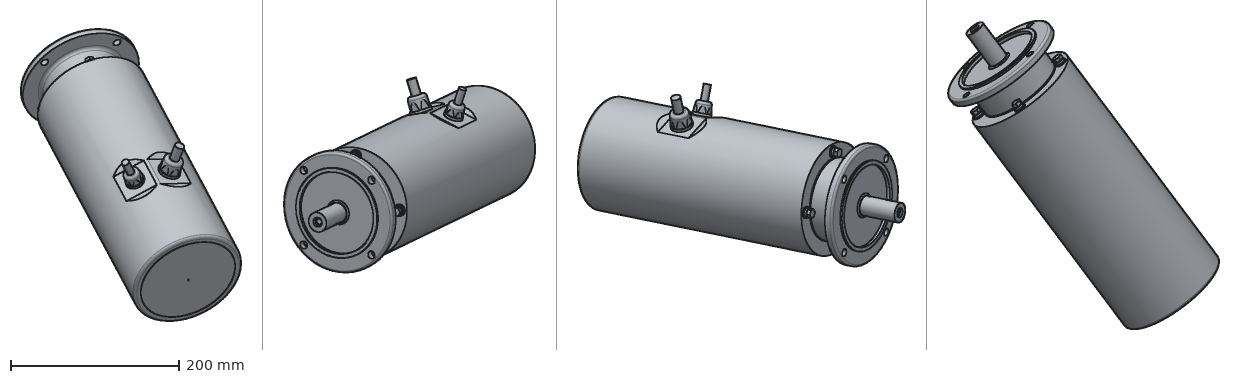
import cadquery as cq
import math

TOTAL_LENGTH = 414.0
ARC_MIDDLE = math.sqrt(0.5)

SHAFT_DIAMETER = 24.0
COLLAR_DIAMETER = 30.0
COLLAR_TIP_DIAMETER = 25.5
COLLAR_HEIGHT = 1.5
CENTRE_MOUTH_DIAMETER = 11.5
CENTRE_STEP_DIAMETER = 9.0
CENTRE_CORE_DIAMETER = 7.0
CENTRE_MOUTH_DEPTH = 2.5
CENTRE_STEP_DEPTH = 4.0
CENTRE_CORE_DEPTH = 20.5

FLANGE_DIAMETER = 148.0
FLANGE_FACE_X = 49.0
FLANGE_THICKNESS = 9.5
FLANGE_EDGE_RADIUS = 3.0
FLANGE_BACK_X = FLANGE_FACE_X + FLANGE_THICKNESS
FLANGE_HOLE_DIAMETER = 9.0
FLANGE_HOLE_CIRCLE_DIAMETER = 130.0
FLANGE_HOLE_COUNT = 4
PILOT_DIAMETER = 110.0
PILOT_HEIGHT = 2.5
PILOT_FACE_X = FLANGE_FACE_X - PILOT_HEIGHT
PILOT_RECESS_DIAMETER = 100.0
PILOT_RECESS_DEPTH = 4.0
RECESS_FLOOR_X = PILOT_FACE_X + PILOT_RECESS_DEPTH

NECK_DIAMETER = 101.0
NECK_FILLET = 4.0
SHOULDER_DIAMETER = 102.0
SHOULDER_X = 93.5
BARREL_DIAMETER = 138.0
BARREL_START_X = 95.0
BARREL_END_X = 412.5
BARREL_END_RADIUS = 3.7
COVER_DIAMETER = 120.0
COVER_END_X = 412.8
REAR_TIP_DIAMETER = 1.0

SCREW_COUNT = 4
SCREW_CIRCLE_DIAMETER = 118.5
SCREW_ACROSS_CORNERS = 11.5
SCREW_HEAD_X = 85.3
SCREW_HEAD_HEIGHT = 5.0
SCREW_COLLAR_DIAMETER = 11.5
WASHER_DIAMETER = 14.0
WASHER_THICKNESS = 1.2

SEAT_X = 294.0
SEAT_TILT = 19.2
SEAT_RADIUS = 66.0
SEAT_LENGTH = 43.0
SEAT_END_SLOPE = 18.5
SEAT_CUT_HEIGHT = 8.3
SEAT_CUT_WIDTH = 49.5

GLAND_RING_HEIGHT = 3.5
POWER_GLAND = {
    "base_diameter": 27.5,
    "top_diameter": 23.5,
    "rim_diameter": 16.0,
    "across_flats": 24.0,
    "height": 20.5,
    "cable_diameter": 11.5,
    "cable_length": 41.0,
}
SIGNAL_GLAND = {
    "base_diameter": 23.5,
    "top_diameter": 20.0,
    "rim_diameter": 12.5,
    "across_flats": 20.3,
    "height": 18.0,
    "cable_diameter": 9.0,
    "cable_length": 38.0,
}


def turned_core():
    """Shaft, flange, neck and barrel as one profile turned about the motor axis."""
    flange_radius = FLANGE_DIAMETER / 2
    neck_radius = NECK_DIAMETER / 2
    barrel_radius = BARREL_DIAMETER / 2
    flange_bulge = FLANGE_EDGE_RADIUS * (1 - ARC_MIDDLE)
    neck_bulge = NECK_FILLET * (1 - ARC_MIDDLE)
    barrel_bulge = BARREL_END_RADIUS * (1 - ARC_MIDDLE)
    return (
        cq.Workplane("XY")
        .moveTo(0, 0)
        .lineTo(0, SHAFT_DIAMETER / 2)
        .lineTo(RECESS_FLOOR_X - COLLAR_HEIGHT, SHAFT_DIAMETER / 2)
        .lineTo(RECESS_FLOOR_X - COLLAR_HEIGHT, COLLAR_TIP_DIAMETER / 2)
        .lineTo(RECESS_FLOOR_X, COLLAR_DIAMETER / 2)
        .lineTo(RECESS_FLOOR_X, PILOT_RECESS_DIAMETER / 2)
        .lineTo(PILOT_FACE_X, PILOT_RECESS_DIAMETER / 2)
        .lineTo(PILOT_FACE_X, PILOT_DIAMETER / 2)
        .lineTo(FLANGE_FACE_X, PILOT_DIAMETER / 2)
        .lineTo(FLANGE_FACE_X, flange_radius - FLANGE_EDGE_RADIUS)
        .threePointArc(
            (FLANGE_FACE_X + flange_bulge, flange_radius - flange_bulge),
            (FLANGE_FACE_X + FLANGE_EDGE_RADIUS, flange_radius),
        )
        .lineTo(FLANGE_BACK_X, flange_radius)
        .lineTo(FLANGE_BACK_X, neck_radius + NECK_FILLET)
        .threePointArc(
            (FLANGE_BACK_X + neck_bulge, neck_radius + neck_bulge),
            (FLANGE_BACK_X + NECK_FILLET, neck_radius),
        )
        .lineTo(SHOULDER_X, neck_radius)
        .lineTo(SHOULDER_X, SHOULDER_DIAMETER / 2)
        .lineTo(BARREL_START_X, SHOULDER_DIAMETER / 2)
        .lineTo(BARREL_START_X, barrel_radius)
        .lineTo(BARREL_END_X - BARREL_END_RADIUS, barrel_radius)
        .threePointArc(
            (BARREL_END_X - barrel_bulge, barrel_radius - barrel_bulge),
            (BARREL_END_X, barrel_radius - BARREL_END_RADIUS),
        )
        .lineTo(BARREL_END_X, COVER_DIAMETER / 2)
        .lineTo(COVER_END_X, COVER_DIAMETER / 2)
        .lineTo(COVER_END_X, REAR_TIP_DIAMETER / 2)
        .lineTo(TOTAL_LENGTH, REAR_TIP_DIAMETER / 2)
        .lineTo(TOTAL_LENGTH, 0)
        .close()
        .revolve(360, (0, 0, 0), (1, 0, 0))
    )


def centre_hole():
    """Countersunk, stepped hole in the shaft end with a conical bottom."""
    step_radius = CENTRE_STEP_DIAMETER / 2
    core_radius = CENTRE_CORE_DIAMETER / 2
    return (
        cq.Workplane("XY")
        .moveTo(0, 0)
        .lineTo(0, CENTRE_MOUTH_DIAMETER / 2)
        .lineTo(CENTRE_MOUTH_DEPTH, step_radius)
        .lineTo(CENTRE_STEP_DEPTH, step_radius)
        .lineTo(CENTRE_STEP_DEPTH, core_radius)
        .lineTo(CENTRE_CORE_DEPTH, core_radius)
        .lineTo(CENTRE_CORE_DEPTH + core_radius, 0)
        .close()
        .revolve(360, (0, 0, 0), (1, 0, 0))
    )


def flange_holes():
    first_angle = 180 / FLANGE_HOLE_COUNT
    return (
        cq.Workplane("YZ", origin=(FLANGE_FACE_X, 0, 0))
        .polarArray(FLANGE_HOLE_CIRCLE_DIAMETER / 2, first_angle, 360, FLANGE_HOLE_COUNT)
        .circle(FLANGE_HOLE_DIAMETER / 2)
        .extrude(FLANGE_THICKNESS)
    )


def screw_positions(x):
    plane = cq.Workplane("YZ", origin=(x, 0, 0))
    return plane.polarArray(SCREW_CIRCLE_DIAMETER / 2, 0, 360, SCREW_COUNT)


def screws():
    """Hexagon heads on round collars and washers, all part of the housing."""
    collar_x = SCREW_HEAD_X + SCREW_HEAD_HEIGHT
    washer_x = BARREL_START_X - WASHER_THICKNESS
    heads = screw_positions(SCREW_HEAD_X).polygon(6, SCREW_ACROSS_CORNERS).extrude(SCREW_HEAD_HEIGHT)
    collars = screw_positions(collar_x).circle(SCREW_COLLAR_DIAMETER / 2).extrude(washer_x - collar_x)
    washers = screw_positions(washer_x).circle(WASHER_DIAMETER / 2).extrude(WASHER_THICKNESS)
    return heads.union(collars).union(washers)


def tilted(body, tilt):
    return body.rotate((0, 0, 0), (1, 0, 0), tilt)


def seat_cut(tilt):
    """Flat-floored cut with sloped ends, across the barrel's surface."""
    half_floor = SEAT_LENGTH / 2
    half_top = half_floor + SEAT_CUT_HEIGHT / math.tan(math.radians(SEAT_END_SLOPE))
    cut = (
        cq.Workplane("XZ", origin=(SEAT_X, 0, SEAT_RADIUS))
        .moveTo(-half_floor, 0)
        .lineTo(half_floor, 0)
        .lineTo(half_top, SEAT_CUT_HEIGHT)
        .lineTo(-half_top, SEAT_CUT_HEIGHT)
        .close()
        .extrude(SEAT_CUT_WIDTH / 2, both=True)
    )
    return tilted(cut, tilt)


def motor_housing():
    body = turned_core().cut(centre_hole()).cut(flange_holes()).union(screws())
    for tilt in (-SEAT_TILT, SEAT_TILT):
        body = body.cut(seat_cut(tilt))
    return body


def cable_gland(
    tilt, base_diameter, top_diameter, rim_diameter, across_flats, height, cable_diameter, cable_length
):
    """Gland nut standing on a seat, with its cable stub; heights start at the seat floor."""
    rim_radius = rim_diameter / 2
    rounding = top_diameter / 2 - rim_radius
    rounding_start = height - rounding
    nut = (
        cq.Workplane("XZ")
        .moveTo(0, 0)
        .lineTo(base_diameter / 2, 0)
        .lineTo(top_diameter / 2, rounding_start)
        .threePointArc(
            (rim_radius + rounding * ARC_MIDDLE, rounding_start + rounding * ARC_MIDDLE),
            (rim_radius, height),
        )
        .lineTo(0, height)
        .close()
        .revolve(360, (0, 0, 0), (0, 1, 0))
    )
    outside_flats = (
        cq.Workplane("XY", origin=(0, 0, GLAND_RING_HEIGHT))
        .circle(base_diameter)
        .polygon(6, across_flats, circumscribed=True)
        .extrude(height)
    )
    cable = cq.Workplane("XY").circle(cable_diameter / 2).extrude(cable_length)
    gland = nut.cut(outside_flats).union(cable)
    return tilted(gland.translate((SEAT_X, 0, SEAT_RADIUS)), tilt)


housing = motor_housing()
power_gland = cable_gland(-SEAT_TILT, **POWER_GLAND)
signal_gland = cable_gland(SEAT_TILT, **SIGNAL_GLAND)

result = cq.Compound.makeCompound([housing.val(), power_gland.val(), signal_gland.val()])